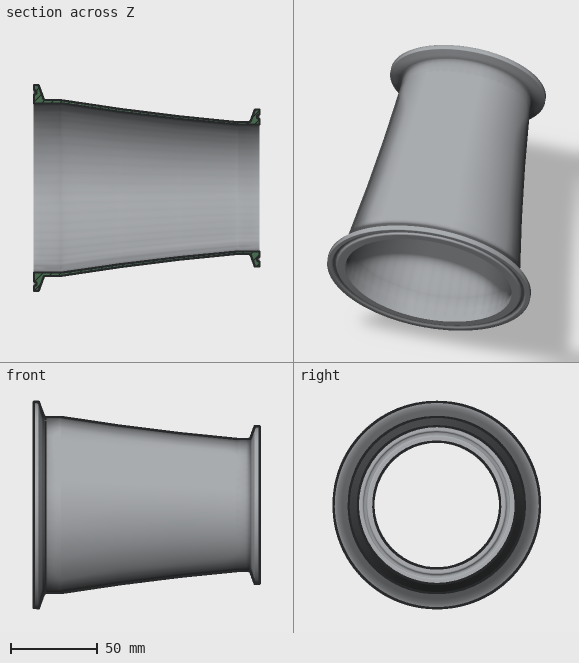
import cadquery as cq
import math

length = 130.2
large_flange_diameter = 119.0
large_tube_diameter = 101.5
large_bore_diameter = 97.4
small_flange_diameter = 90.9
small_tube_diameter = 76.2
small_bore_diameter = 72.9

large_straight_length = 15.9
small_straight_length = 12.5
taper_bow = 0.9

rim_width = 2.9
back_slope_angle = 20.0
root_fillet = 1.0
rim_fillet = 0.4

groove_inset = 4.3
groove_width = 3.9
groove_depth = 1.5


def revolve_about_x(profile):
    """Turn a closed profile, drawn with radius along Z, about the X axis."""
    return profile.close().revolve(360, (0, 0, 0), (1, 0, 0))


def reducer_solid(large_diameter, small_diameter):
    """Solid with two straight ends and a slightly waisted taper between them."""
    large_radius = large_diameter / 2
    small_radius = small_diameter / 2
    taper_start = large_straight_length
    taper_end = length - small_straight_length
    taper_middle = (taper_start + taper_end) / 2
    middle_radius = (large_radius + small_radius) / 2 - taper_bow
    profile = (
        cq.Workplane("XZ")
        .lineTo(0, large_radius)
        .lineTo(taper_start, large_radius)
        .threePointArc((taper_middle, middle_radius), (taper_end, small_radius))
        .lineTo(length, small_radius)
        .lineTo(length, 0)
    )
    return revolve_about_x(profile)


def gasket_groove(centre_radius):
    """Ring cutter at X = 0 with a round bottom that blends into the face through equal arcs."""
    half_width = groove_width / 2
    wall_angle = 2 * math.atan(groove_depth / half_width)
    arc_radius = half_width / (2 * math.sin(wall_angle))
    lip_depth = arc_radius * (1 - math.cos(wall_angle / 2))
    lip_offset = half_width - arc_radius * math.sin(wall_angle / 2)
    wall_depth = groove_depth / 2
    wall_offset = half_width / 2
    profile = (
        cq.Workplane("XZ")
        .moveTo(0, centre_radius - half_width)
        .threePointArc((lip_depth, centre_radius - lip_offset), (wall_depth, centre_radius - wall_offset))
        .threePointArc((groove_depth, centre_radius), (wall_depth, centre_radius + wall_offset))
        .threePointArc((lip_depth, centre_radius + lip_offset), (0, centre_radius + half_width))
    )
    return revolve_about_x(profile)


def flanged_end(flange_diameter, tube_diameter, tube_length):
    """Solid straight end with its clamp flange, end face at X = 0 and tube along +X."""
    flange_radius = flange_diameter / 2
    tube_radius = tube_diameter / 2
    slope_length = (flange_radius - tube_radius) * math.tan(math.radians(back_slope_angle))
    profile = (
        cq.Workplane("XZ")
        .lineTo(0, flange_radius)
        .lineTo(rim_width, flange_radius)
        .lineTo(rim_width + slope_length, tube_radius)
        .lineTo(tube_length, tube_radius)
        .lineTo(tube_length, 0)
    )
    end = revolve_about_x(profile)
    end = end.edges("%CIRCLE").edges(">>X[2]").fillet(root_fillet)
    end = end.edges("%CIRCLE").edges(">>X[0] or >>X[1]").fillet(rim_fillet)
    return end.cut(gasket_groove(flange_radius - groove_inset))


large_end = flanged_end(large_flange_diameter, large_tube_diameter, large_straight_length)
small_end = (
    flanged_end(small_flange_diameter, small_tube_diameter, small_straight_length)
    .mirror("YZ")
    .translate((length, 0, 0))
)

body = reducer_solid(large_tube_diameter, small_tube_diameter).union(large_end).union(small_end)
bore = reducer_solid(large_bore_diameter, small_bore_diameter)
result = body.cut(bore)